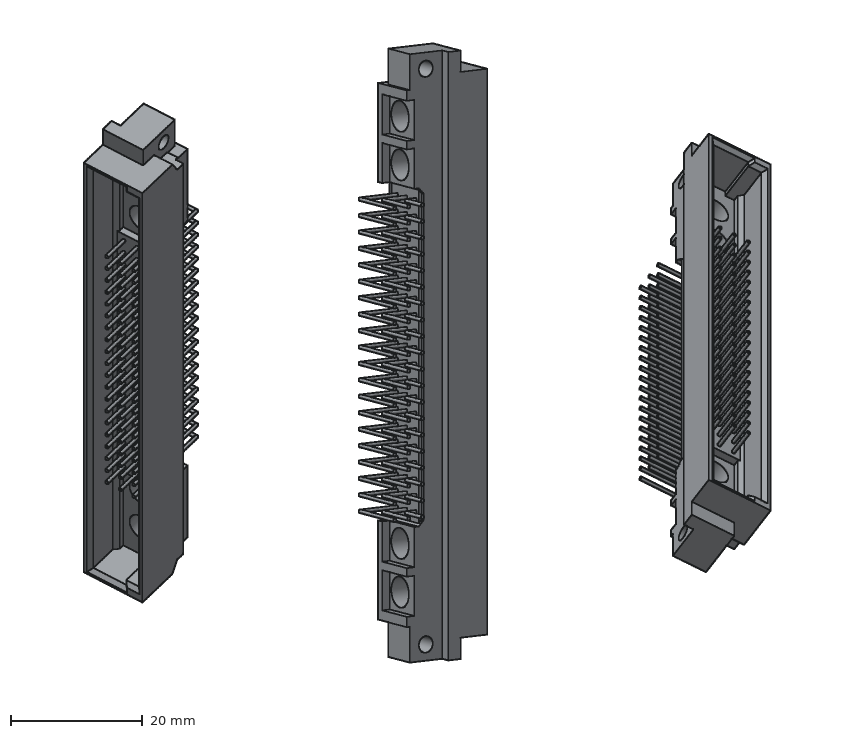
import cadquery as cq


housing_width = 11.1
housing_half_length = 43.7
housing_depth = 10.5
left_step_x = 1.7
left_step_y = 7.1

flange_half_length = 47.0
flange_right_x = 7.6
flange_front_y = 4.9
flange_back_y = 13.1
flange_hole_diameter = 2.5
flange_hole_y = 10.15
flange_hole_z = 44.5

relief_front_y = 7.7
relief_slope_end_y = 8.9
relief_half_length = 41.6

cavity_left_x = 1.3
cavity_right_x = 9.9
cavity_half_length = 42.6
key_left_x = 7.5
key_half_length = 41.55
lead_in = 0.705
ledge_y = 5.6
ledge_width = 0.75
cavity_floor_y = 7.3

pin_field_y = 6.1
pin_field_half_length = 25.4

pin_diameter = 0.6
pin_pitch = 2.5
pin_columns = 3
pin_rows = 20
first_column_x = 3.1
pin_tip_y = 1.7
first_tail_y = 12.7
tail_end_x = -1.2

contact_hole_diameter = 4.8
contact_hole_x = first_column_x + pin_pitch
contact_hole_zs = (29.2, 36.8)
foot_right_x = 9.6
foot_back_y = 13.6
foot_outer_z = 41.5
slot_half_length = 3.1
slot_front_y = 12.2
slot_right_x = 8.5
foot_inner_z = contact_hole_zs[0] - slot_half_length
foot_chamfer = 0.9

back_plate_left_x = 2.3
back_plate_y = 11.1


def box(x_range, y_range, z_range):
    """Box between pairs of X, Y and Z limits."""
    sizes = [high - low for low, high in (x_range, y_range, z_range)]
    corner = (x_range[0], y_range[0], z_range[0])
    return cq.Workplane("XY").box(*sizes, centered=False).translate(corner)


def long_box(x_range, y_range, half_length):
    """Box that is symmetric about Z = 0."""
    return box(x_range, y_range, (-half_length, half_length))


def both_ends(solid):
    """The solid together with its mirror image at the other end of the part."""
    return solid.union(solid.mirror("XY"))


def make_shell():
    left_notch = long_box((0, left_step_x), (left_step_y, flange_back_y), flange_half_length)
    housing = long_box((0, housing_width), (0, housing_depth), housing_half_length)
    flange = long_box((0, flange_right_x), (flange_front_y, flange_back_y), flange_half_length)
    back_gap = long_box((0, flange_right_x), (housing_depth, flange_back_y), foot_outer_z)
    relief = (
        cq.Workplane("YZ", origin=(flange_right_x, 0, 0))
        .polyline([
            (relief_front_y, housing_half_length),
            (relief_slope_end_y, relief_half_length),
            (housing_depth, relief_half_length),
            (housing_depth, housing_half_length),
        ])
        .close()
        .extrude(housing_width - flange_right_x)
    )
    return housing.union(flange).cut(left_notch).cut(back_gap).cut(both_ends(relief))


def make_foot():
    """Foot at the +Z end, with a chamfered inner end and slots behind the contact holes."""
    foot = (
        cq.Workplane("YZ", origin=(left_step_x, 0, 0))
        .polyline([
            (housing_depth, foot_inner_z - foot_chamfer),
            (housing_depth + foot_chamfer, foot_inner_z),
            (foot_back_y, foot_inner_z),
            (foot_back_y, foot_outer_z),
            (housing_depth, foot_outer_z),
        ])
        .close()
        .extrude(foot_right_x - left_step_x)
    )
    for z in contact_hole_zs:
        slot_z_range = (z - slot_half_length, z + slot_half_length)
        foot = foot.cut(box((left_step_x, slot_right_x), (slot_front_y, foot_back_y), slot_z_range))
    return foot


def cavity_outline(y, growth):
    """Closed cavity outline at depth y, with every side moved outward by growth."""
    left = cavity_left_x - growth
    right = cavity_right_x + growth
    key_left = key_left_x + growth
    end = cavity_half_length + growth
    key_end = key_half_length + growth
    return cq.Workplane("XZ", origin=(0, y, 0)).polyline([
        (left, -end),
        (key_left, -end),
        (key_left, -key_end),
        (right, -key_end),
        (right, key_end),
        (key_left, key_end),
        (key_left, end),
        (left, end),
    ]).close()


def make_lead_in():
    mouth = cavity_outline(0, lead_in).wires().val()
    throat = cavity_outline(lead_in, 0).wires().val()
    return cq.Workplane(cq.Solid.makeLoft([mouth, throat], True))


def make_ledge(wall_x, inward):
    """Ledge along a long wall, with a 45 degree front; inward is +1 or -1 along X."""
    ledge_x = wall_x + inward * ledge_width
    return (
        cq.Workplane("XY", origin=(0, 0, -cavity_half_length))
        .polyline([
            (wall_x, ledge_y),
            (ledge_x, ledge_y + ledge_width),
            (ledge_x, cavity_floor_y),
            (wall_x, cavity_floor_y),
        ])
        .close()
        .extrude(2 * cavity_half_length)
    )


def make_cavity():
    cavity = cavity_outline(0, 0).extrude(-cavity_floor_y).union(make_lead_in())
    cavity = cavity.cut(make_ledge(cavity_left_x, 1)).cut(make_ledge(cavity_right_x, -1))
    pin_field = long_box(
        (cavity_left_x, cavity_right_x), (pin_field_y, cavity_floor_y), pin_field_half_length
    )
    return cavity.cut(pin_field)


def make_contact_holes():
    points = [(contact_hole_x, side * z) for z in contact_hole_zs for side in (1, -1)]
    return (
        cq.Workplane("XZ")
        .pushPoints(points)
        .circle(contact_hole_diameter / 2)
        .extrude(-foot_back_y)
    )


def make_flange_holes():
    return (
        cq.Workplane("YZ")
        .pushPoints([(flange_hole_y, flange_hole_z), (flange_hole_y, -flange_hole_z)])
        .circle(flange_hole_diameter / 2)
        .extrude(flange_right_x)
    )


def make_pin(column):
    """Pin at Z = 0: straight along Y, rounded elbow, then a tail toward -X."""
    x = first_column_x + column * pin_pitch
    tail_y = first_tail_y + column * pin_pitch
    radius = pin_diameter / 2
    contact = cq.Workplane("XZ", origin=(x, pin_tip_y, 0)).circle(radius).extrude(pin_tip_y - tail_y)
    tail = cq.Workplane("YZ", origin=(tail_end_x, tail_y, 0)).circle(radius).extrude(x - tail_end_x)
    elbow = cq.Workplane("XY", origin=(x, tail_y, 0)).sphere(radius)
    return contact.union(tail).union(elbow)


def make_pins():
    first_z = -(pin_rows - 1) / 2 * pin_pitch
    pins = []
    for column in range(pin_columns):
        pin = make_pin(column).val()
        for row in range(pin_rows):
            pins.append(pin.translate(cq.Vector(0, 0, first_z + row * pin_pitch)))
    return pins


back_plate = long_box(
    (back_plate_left_x, foot_right_x), (housing_depth, back_plate_y), relief_half_length
)
body = make_shell().union(both_ends(make_foot())).union(back_plate)
body = body.cut(make_cavity()).cut(make_contact_holes()).cut(make_flange_holes())
result = cq.Workplane(body.val().fuse(*make_pins()))